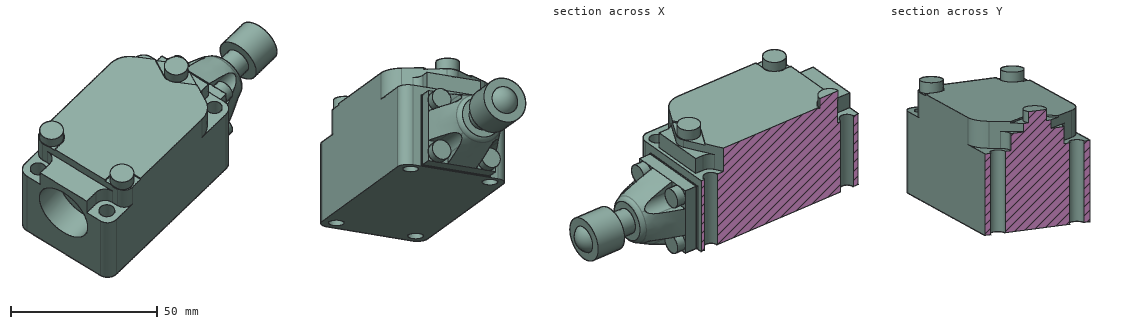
import cadquery as cq
import math

HOUSING_WIDTH = 40.0
HOUSING_LENGTH = 68.0
LEDGE_HEIGHT = 29.0
HOUSING_CORNER_RADIUS = 4.0

PAD_WIDTH = 20.3
PAD_TOP = 35.1
PAD_END = 66.7
PAD_FILLET = 4.0

COVER_TOP = 38.6
COVER_FRONT = 9.0
COVER_FRONT_RADIUS = 3.6
SHOULDER_RADIUS = 8.4

SEAT_HEIGHT = 38.0
SEAT_RADIUS = 4.4
COVER_SCREW_RADIUS = 4.1
COVER_SCREW_TOP = 42.0
FRONT_SCREW_OFFSET = 15.4
FRONT_SCREW_Y = 12.7
REAR_SCREW_Y = 61.8
LOZENGE_HALF_WIDTH = 9.1
SLOPE = math.asin(SEAT_RADIUS / LOZENGE_HALF_WIDTH)
LOZENGE_HALF_LENGTH = SEAT_RADIUS / math.cos(SLOPE)

MOUNT_HOLE_DIAMETER = 5.4
MOUNT_HOLE_SPACING_X = 30.0
MOUNT_HOLE_FRONT_Y = 5.0
MOUNT_HOLE_REAR_Y = 63.9
CONDUIT_DIAMETER = 21.1
CONDUIT_Z = 21.5
CONDUIT_DEPTH = 10.7

AXIS_Z = 13.1
GASKET_WIDTH = 26.0
GASKET_END = 68.6
BASE_WIDTH = 25.5
BASE_END = 73.2
TAPER_END = 86.8
TAPER_END_RADIUS = 8.6
HEAD_END = 88.5
HEAD_END_RADIUS = 7.1
HEAD_SCREW_OFFSET = 9.3
HEAD_SCREW_RADIUS = 3.5
HEAD_SCREW_END = 76.6
POCKET_RADIUS = 4.0

STEM_RADIUS = 4.6
KNOB_RADIUS = 7.9
KNOB_START = 95.7
KNOB_END = 107.2
DOME_RADIUS = 4.8
TIP = 109.9


def axis_plane(y):
    """Plane across the plunger axis, facing +Y; its own x and y run along Z and X."""
    return cq.Workplane(cq.Plane(origin=(0, y, AXIS_Z), xDir=(0, 0, 1), normal=(0, 1, 0)))


def level_plane(z):
    """Plane facing up at the height z."""
    return cq.Workplane("XY", origin=(0, 0, z))


def fillet_upright(body, radius, points):
    """Fillet the edges along Z that stand at the given (x, y) points."""
    reach = 0.1
    for x, y in points:
        near = cq.selectors.BoxSelector((x - reach, y - reach, 0), (x + reach, y + reach, COVER_TOP))
        body = body.edges("|Z").edges(near).fillet(radius)
    return body


def gable_y(x):
    """Y of the cover's sloping rear edge at the distance x from the centre plane."""
    return REAR_SCREW_Y - (x - LOZENGE_HALF_WIDTH) * math.tan(SLOPE)


def cover_layer(bottom, top):
    """Slab with the cover's outline: a gable with rounded shoulders and apex."""
    side = HOUSING_WIDTH / 2
    front_corners = [(-side, COVER_FRONT), (side, COVER_FRONT)]
    shoulders = [(side, gable_y(side)), (-side, gable_y(side))]
    apex = (0, gable_y(0))
    outline = [*front_corners, shoulders[0], apex, shoulders[1]]
    slab = level_plane(bottom).polyline(outline).close().extrude(top - bottom)
    slab = fillet_upright(slab, COVER_FRONT_RADIUS, front_corners)
    slab = fillet_upright(slab, SHOULDER_RADIUS, shoulders)
    return fillet_upright(slab, SEAT_RADIUS, [apex])


def padded_layer():
    """Lower part of the cover, blended into the end pads."""
    half = PAD_WIDTH / 2
    pad = (
        level_plane(LEDGE_HEIGHT)
        .center(0, PAD_END / 2)
        .rect(PAD_WIDTH, PAD_END)
        .extrude(PAD_TOP - LEDGE_HEIGHT)
    )
    layer = cover_layer(LEDGE_HEIGHT, PAD_TOP).union(pad)
    inner_corners = [(side * half, y) for side in (-1, 1) for y in (COVER_FRONT, gable_y(half))]
    return fillet_upright(layer, PAD_FILLET, inner_corners)


def seat_cutters():
    """Volumes above the seats: a lozenge at the rear and a rounded corner at each side in front."""
    depth = COVER_TOP - SEAT_HEIGHT
    apexes = [(0, REAR_SCREW_Y - LOZENGE_HALF_LENGTH), (0, REAR_SCREW_Y + LOZENGE_HALF_LENGTH)]
    lozenge = [(-LOZENGE_HALF_WIDTH, REAR_SCREW_Y), apexes[0], (LOZENGE_HALF_WIDTH, REAR_SCREW_Y), apexes[1]]
    rear = level_plane(SEAT_HEIGHT).polyline(lozenge).close().extrude(depth)
    cutters = [fillet_upright(rear, SEAT_RADIUS, apexes)]
    for side in (-1, 1):
        inner = side * (FRONT_SCREW_OFFSET - SEAT_RADIUS)
        seat_end = FRONT_SCREW_Y + SEAT_RADIUS
        corner = (
            level_plane(SEAT_HEIGHT)
            .moveTo(inner, 0)
            .lineTo(side * HOUSING_WIDTH / 2, 0)
            .lineTo(side * HOUSING_WIDTH / 2, seat_end)
            .lineTo(inner, seat_end)
            .close()
            .extrude(depth)
        )
        cutters.append(fillet_upright(corner, SEAT_RADIUS, [(inner, seat_end)]))
    return cutters


def cover_screws():
    centres = [
        (-FRONT_SCREW_OFFSET, FRONT_SCREW_Y),
        (FRONT_SCREW_OFFSET, FRONT_SCREW_Y),
        (0, REAR_SCREW_Y),
    ]
    heads = level_plane(SEAT_HEIGHT).pushPoints(centres).circle(COVER_SCREW_RADIUS)
    return heads.extrude(COVER_SCREW_TOP - SEAT_HEIGHT)


def mounting_holes():
    half_spacing = MOUNT_HOLE_SPACING_X / 2
    centres = [(x, y) for x in (-half_spacing, half_spacing) for y in (MOUNT_HOLE_FRONT_Y, MOUNT_HOLE_REAR_Y)]
    return level_plane(0).pushPoints(centres).circle(MOUNT_HOLE_DIAMETER / 2).extrude(LEDGE_HEIGHT)


def conduit_entry():
    front_face = cq.Workplane("XZ", origin=(0, 0, CONDUIT_Z))
    return front_face.circle(CONDUIT_DIAMETER / 2).extrude(-CONDUIT_DEPTH)


def make_housing():
    box = (
        level_plane(0)
        .center(0, HOUSING_LENGTH / 2)
        .rect(HOUSING_WIDTH, HOUSING_LENGTH)
        .extrude(LEDGE_HEIGHT)
        .edges("|Z")
        .fillet(HOUSING_CORNER_RADIUS)
    )
    housing = box.union(padded_layer()).union(cover_layer(PAD_TOP, COVER_TOP))
    for cutter in seat_cutters():
        housing = housing.cut(cutter)
    gasket = axis_plane(HOUSING_LENGTH).rect(BASE_WIDTH, GASKET_WIDTH).extrude(GASKET_END - HOUSING_LENGTH)
    return housing.union(cover_screws()).union(gasket).cut(mounting_holes()).cut(conduit_entry())


def taper_blend():
    """Blend from the square base to a circle, each quarter arc facing one side of the square."""
    half = BASE_WIDTH / 2
    corner = TAPER_END_RADIUS * math.sqrt(0.5)
    square = [(-half, -half), (half, -half), (half, half), (-half, half)]
    return (
        axis_plane(BASE_END)
        .polyline(square)
        .close()
        .workplane(offset=TAPER_END - BASE_END)
        .moveTo(-corner, -corner)
        .threePointArc((0, -TAPER_END_RADIUS), (corner, -corner))
        .threePointArc((TAPER_END_RADIUS, 0), (corner, corner))
        .threePointArc((0, TAPER_END_RADIUS), (-corner, corner))
        .threePointArc((-TAPER_END_RADIUS, 0), (-corner, -corner))
        .close()
        .loft(ruled=True)
    )


def rounded_nose():
    """Round cap whose arc carries on in the direction of the taper."""
    taper_direction = (TAPER_END_RADIUS - BASE_WIDTH / 2, TAPER_END - BASE_END)
    arc = cq.Edge.makeTangentArc(
        cq.Vector(TAPER_END_RADIUS, TAPER_END, AXIS_Z),
        cq.Vector(*taper_direction, 0),
        cq.Vector(HEAD_END_RADIUS, HEAD_END, AXIS_Z),
    )
    arc_middle = arc.positionAt(0.5)
    return (
        level_plane(AXIS_Z)
        .moveTo(0, TAPER_END)
        .lineTo(TAPER_END_RADIUS, TAPER_END)
        .threePointArc((arc_middle.x, arc_middle.y), (HEAD_END_RADIUS, HEAD_END))
        .lineTo(0, HEAD_END)
        .close()
        .revolve(360, (0, 0, 0), (0, 1, 0))
    )


def screw_pockets():
    """Open corner pockets, each with its inner corner rounded around a head screw."""
    inner = HEAD_SCREW_OFFSET - POCKET_RADIUS
    outer = BASE_WIDTH / 2
    middle = (inner + outer) / 2
    pockets = []
    for x in (-1, 1):
        for z in (-1, 1):
            inner_corner = cq.selectors.NearestToPointSelector((x * inner, HEAD_END, AXIS_Z + z * inner))
            pocket = (
                axis_plane(BASE_END)
                .center(z * middle, x * middle)
                .rect(outer - inner, outer - inner)
                .extrude(HEAD_END - BASE_END)
                .edges("|Y")
                .edges(inner_corner)
                .fillet(POCKET_RADIUS)
            )
            pockets.append(pocket)
    return pockets


def head_screws():
    corners = axis_plane(BASE_END).rect(2 * HEAD_SCREW_OFFSET, 2 * HEAD_SCREW_OFFSET, forConstruction=True)
    return corners.vertices().circle(HEAD_SCREW_RADIUS).extrude(HEAD_SCREW_END - BASE_END)


def make_head():
    base = axis_plane(GASKET_END).rect(BASE_WIDTH, BASE_WIDTH).extrude(BASE_END - GASKET_END)
    cap = taper_blend().union(rounded_nose())
    for pocket in screw_pockets():
        cap = cap.cut(pocket)
    return base.union(cap).union(head_screws())


def make_plunger():
    """Stem, knob and domed tip, turned as one piece; the stem stands on the head's end face."""
    dome_height = TIP - KNOB_END
    sphere_radius = (DOME_RADIUS**2 + dome_height**2) / (2 * dome_height)
    half_angle = math.asin(DOME_RADIUS / sphere_radius) / 2
    dome_middle = (
        sphere_radius * math.sin(half_angle),
        TIP - sphere_radius * (1 - math.cos(half_angle)),
    )
    return (
        level_plane(AXIS_Z)
        .moveTo(0, HEAD_END)
        .lineTo(STEM_RADIUS, HEAD_END)
        .lineTo(STEM_RADIUS, KNOB_START)
        .lineTo(KNOB_RADIUS, KNOB_START)
        .lineTo(KNOB_RADIUS, KNOB_END)
        .lineTo(DOME_RADIUS, KNOB_END)
        .threePointArc(dome_middle, (0, TIP))
        .close()
        .revolve(360, (0, 0, 0), (0, 1, 0))
    )


housing = make_housing()
head = make_head()
plunger = make_plunger()
result = cq.Compound.makeCompound([housing.val(), head.val(), plunger.val()])